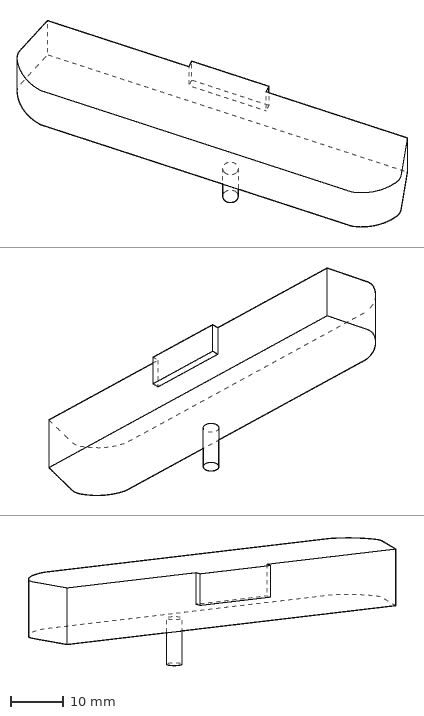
import cadquery as cq
import math

half_length = 39.4
body_depth = 15.9
body_height = 11.0
back_half_length = 37.1

front_flat_half = 31.75
corner_radius = 10.0
blend_radius = 3.0
widest_y = 6.6

tab_width = 15.9
tab_projection = 1.4
tab_height = 6.15

pin_diameter = 3.0
pin_length = 9.0
pin_x = 5.4
pin_y = 4.0


def point_on_arc(center, radius, angle):
    return (center[0] + radius * math.cos(angle), center[1] + radius * math.sin(angle))


def direction(start, end):
    return math.atan2(end[1] - start[1], end[0] - start[0])


def make_half_body():
    """Right half of the body, running from the centre plane to the +X end."""
    front_center = (front_flat_half, blend_radius)
    side_center = (half_length - blend_radius, widest_y)
    back_corner = (back_half_length, body_depth)

    half_span = math.dist(front_center, side_center) / 2
    center_distance = corner_radius - blend_radius
    span_angle = direction(front_center, side_center)
    midpoint = point_on_arc(front_center, half_span, span_angle)
    offset = math.sqrt(center_distance**2 - half_span**2)
    corner_center = point_on_arc(midpoint, offset, span_angle + math.pi / 2)
    front_angle = direction(corner_center, front_center)
    side_angle = direction(corner_center, side_center)

    back_distance = math.dist(side_center, back_corner)
    tangent_angle = direction(side_center, back_corner) - math.acos(blend_radius / back_distance)

    front_blend_middle = (front_angle - math.pi / 2) / 2
    corner_middle = (front_angle + side_angle) / 2
    side_blend_middle = (side_angle + tangent_angle) / 2
    return (
        cq.Workplane("XY")
        .lineTo(front_flat_half, 0)
        .threePointArc(
            point_on_arc(front_center, blend_radius, front_blend_middle),
            point_on_arc(front_center, blend_radius, front_angle),
        )
        .threePointArc(
            point_on_arc(corner_center, corner_radius, corner_middle),
            point_on_arc(corner_center, corner_radius, side_angle),
        )
        .threePointArc(
            point_on_arc(side_center, blend_radius, side_blend_middle),
            point_on_arc(side_center, blend_radius, tangent_angle),
        )
        .lineTo(*back_corner)
        .lineTo(0, body_depth)
        .close()
        .extrude(body_height)
    )


def make_tab():
    return (
        cq.Workplane("XY", origin=(0, body_depth, body_height))
        .rect(tab_width, 2 * tab_projection)
        .extrude(-tab_height)
    )


def make_pin():
    return cq.Workplane("XY", origin=(pin_x, pin_y, 0)).circle(pin_diameter / 2).extrude(-pin_length)


half_body = make_half_body()
body = half_body.union(half_body.mirror("YZ")).clean()
result = body.union(make_tab()).union(make_pin())